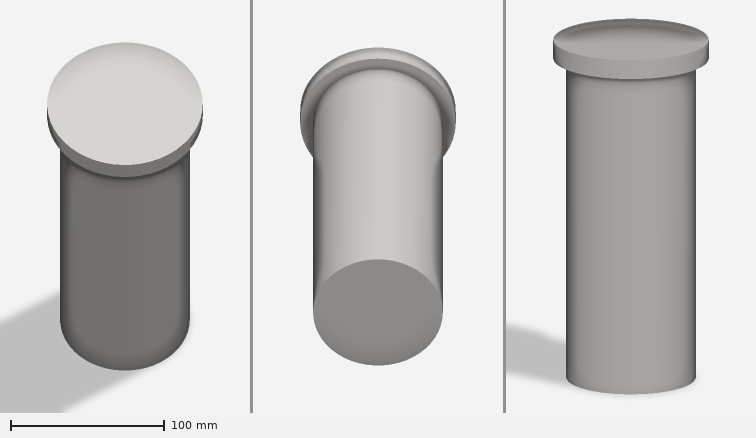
import cadquery as cq

total_height = 228.6
head_diameter = 101.6
head_thickness = 12.7
shank_diameter = 84.67
shank_length = total_height - head_thickness


def make_shank():
    """Plain round shank from the base up to the underside of the head."""
    return cq.Workplane("XY").circle(shank_diameter / 2).extrude(shank_length)


def make_head():
    """Flat disc that caps the shank."""
    return (
        cq.Workplane("XY")
        .workplane(offset=shank_length)
        .circle(head_diameter / 2)
        .extrude(head_thickness)
    )


result = make_shank().union(make_head())